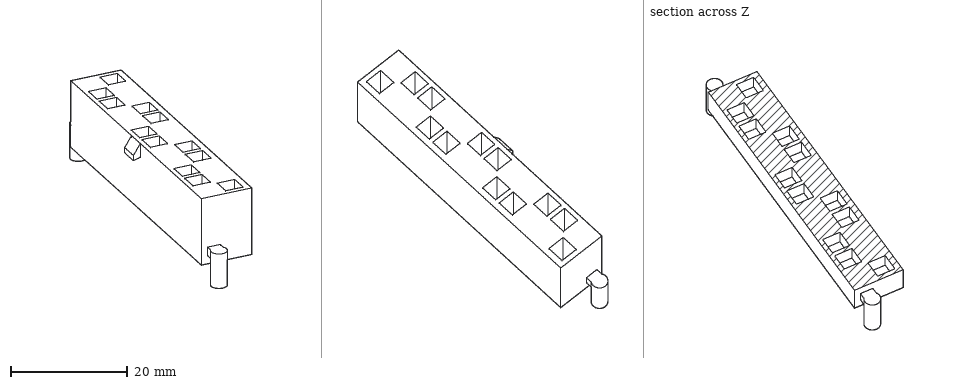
import cadquery as cq

body_length = 51.55
body_depth = 9.65
body_height = 12.75

cavity_side = 3.35
cavity_pitch = 4.2
cavity_depth = 10.5
column_count = 12
front_row_y = 2.6
back_row_y = front_row_y + cavity_pitch
back_row_columns = (0, 3)
column_group = 4

latch_width = 3.45
latch_reach = 1.35
latch_root_drop = 2.65
latch_nose_top_drop = 2.0
latch_nose_bottom_drop = 3.0

overall_length = 58.45
peg_diameter = 2.9
peg_drop = 3.4
peg_height = 6.6
peg_x = (overall_length - peg_diameter) / 2
peg_y = 2.4
arm_width = 2.45
arm_height = 1.65


def make_body():
    return cq.Workplane("XY").box(
        body_length, body_depth, body_height, centered=(True, False, False)
    )


def cavity_centres():
    centres = []
    for column in range(column_count):
        x = (column - (column_count - 1) / 2) * cavity_pitch
        in_back_row = column % column_group in back_row_columns
        centres.append((x, back_row_y if in_back_row else front_row_y))
    return centres


def make_cavities():
    return (
        cq.Workplane("XY", origin=(0, 0, body_height))
        .pushPoints(cavity_centres())
        .rect(cavity_side, cavity_side)
        .extrude(-cavity_depth)
    )


def make_latch():
    profile = [
        (0, body_height),
        (-latch_reach, body_height - latch_nose_top_drop),
        (-latch_reach, body_height - latch_nose_bottom_drop),
        (0, body_height - latch_root_drop),
    ]
    return cq.Workplane("YZ").polyline(profile).close().extrude(latch_width / 2, both=True)


def make_peg(side):
    """Peg and arm on one end: side is -1 for the -X end, +1 for the +X end."""
    peg_top = peg_height - peg_drop
    peg = (
        cq.Workplane("XY", origin=(side * peg_x, peg_y, -peg_drop))
        .circle(peg_diameter / 2)
        .extrude(peg_height)
    )
    arm_length = peg_x - body_length / 2
    arm_x = side * (peg_x + body_length / 2) / 2
    arm = cq.Workplane("XY", origin=(arm_x, peg_y, peg_top)).rect(arm_length, arm_width).extrude(-arm_height)
    return peg.union(arm)


result = make_body().cut(make_cavities()).union(make_latch())
for end in (-1, 1):
    result = result.union(make_peg(end))